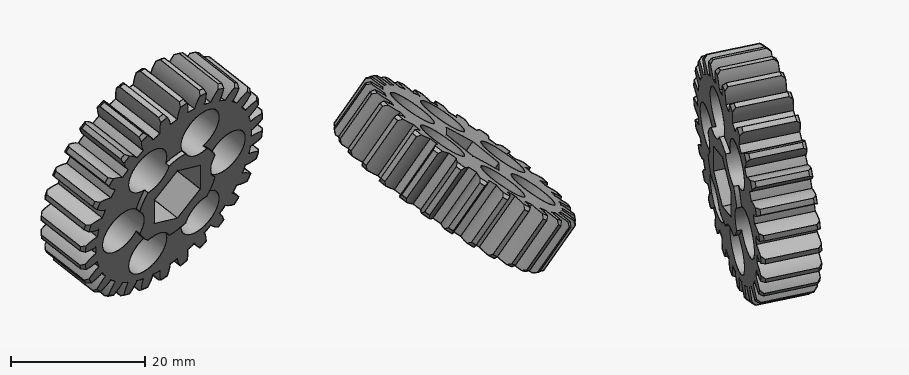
import cadquery as cq
import math

TOOTH_COUNT = 28
TIP_RADIUS = 19.05
ROOT_RADIUS = 16.2
ROOT_HALF_THICKNESS = 1.1
MIDDLE_RADIUS = 17.75
MIDDLE_HALF_THICKNESS = 0.9
TIP_HALF_THICKNESS = 0.45
GEAR_WIDTH = 9.4
TIP_CHAMFER = 0.57

BOSS_RADIUS = 8.25
BOSS_HEIGHT = 0.75

HEX_ACROSS_FLATS = 9.53
HOLE_COUNT = 6
HOLE_DIAMETER = 7.95
HOLE_CIRCLE_RADIUS = 10.9

TOTAL_WIDTH = GEAR_WIDTH + BOSS_HEIGHT
TOOTH_PITCH = 2 * math.pi / TOOTH_COUNT


def polar(radius, angle):
    """Point in the YZ plane, with the angle measured from +Y towards +Z."""
    return radius * math.cos(angle), radius * math.sin(angle)


def flank_point(radius, half_thickness, tooth_angle, side):
    """Point on one flank of a tooth; side is -1 or +1."""
    return polar(radius, tooth_angle + side * math.asin(half_thickness / radius))


def gear_blank():
    """Toothed disc, with a gap between teeth centred on +Y."""
    first_tooth = TOOTH_PITCH / 2
    outline = cq.Workplane("YZ").moveTo(
        *flank_point(ROOT_RADIUS, ROOT_HALF_THICKNESS, first_tooth, -1)
    )
    for index in range(TOOTH_COUNT):
        angle = first_tooth + index * TOOTH_PITCH
        outline = outline.threePointArc(
            flank_point(MIDDLE_RADIUS, MIDDLE_HALF_THICKNESS, angle, -1),
            flank_point(TIP_RADIUS, TIP_HALF_THICKNESS, angle, -1),
        )
        outline = outline.threePointArc(
            polar(TIP_RADIUS, angle),
            flank_point(TIP_RADIUS, TIP_HALF_THICKNESS, angle, 1),
        )
        outline = outline.threePointArc(
            flank_point(MIDDLE_RADIUS, MIDDLE_HALF_THICKNESS, angle, 1),
            flank_point(ROOT_RADIUS, ROOT_HALF_THICKNESS, angle, 1),
        )
        outline = outline.threePointArc(
            polar(ROOT_RADIUS, angle + TOOTH_PITCH / 2),
            flank_point(ROOT_RADIUS, ROOT_HALF_THICKNESS, angle + TOOTH_PITCH, -1),
        )
    return outline.close().extrude(GEAR_WIDTH)


def chamfer_envelope():
    """Disc with chamfered rims that bevels both ends of every tooth tip."""
    return (
        cq.Workplane("YZ")
        .circle(TIP_RADIUS)
        .extrude(GEAR_WIDTH)
        .edges()
        .chamfer(TIP_CHAMFER)
    )


def boss():
    return cq.Workplane("YZ", origin=(GEAR_WIDTH, 0, 0)).circle(BOSS_RADIUS).extrude(BOSS_HEIGHT)


def hex_bore():
    """Hexagonal bore with corners pointing along Z."""
    across_corners = HEX_ACROSS_FLATS / math.cos(math.pi / 6)
    return (
        cq.Workplane("YZ")
        .transformed(rotate=(0, 0, 90))
        .polygon(6, across_corners)
        .extrude(TOTAL_WIDTH)
    )


def lightening_holes():
    """Ring of through holes that also cut scallops into the boss."""
    return (
        cq.Workplane("YZ")
        .polarArray(HOLE_CIRCLE_RADIUS, 0, 360, HOLE_COUNT)
        .circle(HOLE_DIAMETER / 2)
        .extrude(TOTAL_WIDTH)
    )


gear = gear_blank().intersect(chamfer_envelope())
result = gear.union(boss()).cut(hex_bore()).cut(lightening_holes())